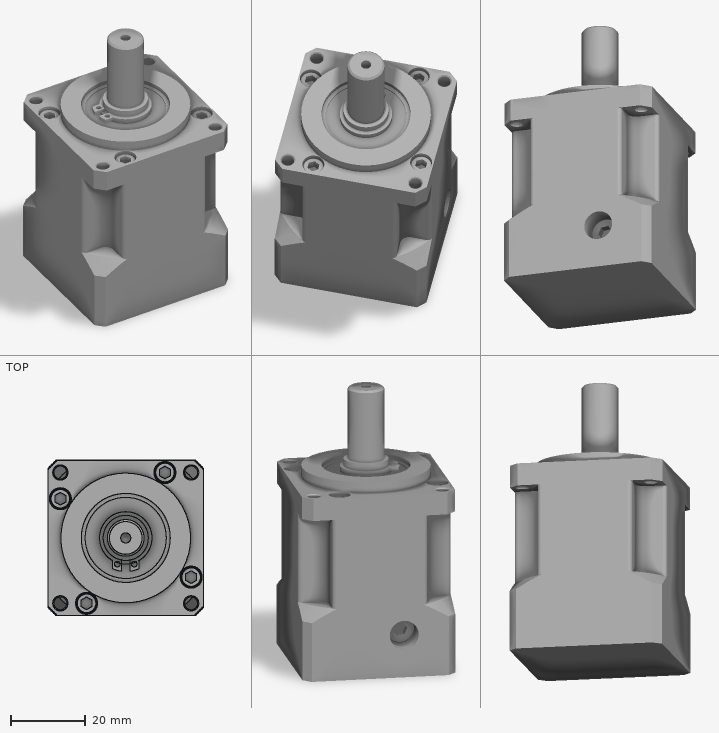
import cadquery as cq
import math

width = 42.0
half_width = width / 2

slope_start_height = 16.4
notch_floor_height = 20.1
housing_top = 29.4
ring_top = 42.6
flange_underside = 45.05
flange_top = 51.15
pilot_top = 54.1
collar_top = 56.1
shaft_top = 76.1

foot_corner_chamfer = 2.2
flange_corner_chamfer = 2.6
notch_size = 8.0
notch_inner_radius = 2.4
notch_edge_radius = 1.15
slope_top_radius = 24.1

pilot_radius = 17.5
recess_radius = 12.0
recess_depth = 1.2
seal_radius = 10.95
seal_depth = 1.5
mount_hole_radius = 1.75
mount_hole_chamfer = 0.3
mount_hole_offset = 17.65

shaft_radius = 4.95
shaft_chamfer = 0.5
collar_radius = 6.1
shoulder_radius = 7.1
groove_radius = 5.5
center_hole_radius = 1.4
center_hole_depth = 7.6
drill_point_half_angle = math.radians(59)

clip_thickness = 1.0
clip_groove_width = 1.15
clip_radius = 7.1
clip_lug_radius = 9.05
clip_lug_outer_x = 3.6
clip_gap = 2.2
clip_eye_radius = 0.75
clip_eye_x = 2.3
clip_eye_y = -7.1

screw_near_offset = 10.6
screw_far_offset = 17.65
counterbore_radius = 3.0
screw_sink = 0.8
screw_head_radius = 2.75
screw_head_height = 4.0
screw_head_chamfer = 0.2
screw_shank_radius = 1.5
screw_socket_width = 3.0
screw_socket_depth = 2.5
screw_grip_in_housing = 6.1

clamp_y = -6.55
clamp_height = 11.9
clamp_hole_radius = 3.95
clamp_sink = 6.1
clamp_head_radius = 3.9
clamp_head_height = 4.6
clamp_shank_radius = 2.0
clamp_shank_length = 9.1
clamp_socket_width = 3.5
clamp_socket_depth = 2.5
clamp_socket_turn = 7.0

clip_bottom = pilot_top - clip_thickness
groove_top = clip_bottom + clip_groove_width
seal_face = pilot_top - seal_depth
screw_head_top = flange_top - screw_sink
counterbore_depth = screw_sink + screw_head_height
screw_tip = housing_top - screw_grip_in_housing
screw_shank_length = screw_head_top - screw_head_height - screw_tip
clamp_head_x = clamp_sink - half_width
screw_places = [
    (screw_near_offset, screw_far_offset),
    (-screw_far_offset, screw_near_offset),
    (-screw_near_offset, -screw_far_offset),
    (screw_far_offset, -screw_near_offset),
]


def cylinder(radius, bottom, top):
    return cq.Workplane("XY").workplane(offset=bottom).circle(radius).extrude(top - bottom)


def square_block(bottom, top):
    return cq.Workplane("XY").workplane(offset=bottom).rect(width, width).extrude(top - bottom)


def notched_block(bottom, top):
    """Square block with a rounded square notch along each vertical corner."""
    block = square_block(bottom, top)
    inner = half_width - notch_size
    notch_center = (half_width + inner) / 2
    notches = (
        cq.Workplane("XY").workplane(offset=bottom)
        .rect(2 * notch_center, 2 * notch_center, forConstruction=True).vertices()
        .rect(notch_size, notch_size).extrude(top - bottom)
    )
    block = block.cut(notches)
    near_wall = inner + notch_edge_radius / 2
    inner_edges = cq.selectors.BoxSelector((-near_wall, -near_wall, bottom), (near_wall, near_wall, top))
    block = block.edges("|Z").edges(inner_edges).fillet(notch_inner_radius)
    return block.edges("|Z and (>X or <X or >Y or <Y)").fillet(notch_edge_radius)


def socket_screw(head_radius, head_height, shank_radius, shank_length, socket_width, socket_depth, turn):
    """Socket head screw along Z, with the top of its head on Z = 0."""
    head = cylinder(head_radius, -head_height, 0).faces(">Z").chamfer(screw_head_chamfer)
    screw = head.union(cylinder(shank_radius, -head_height - shank_length, -head_height))
    socket_corner_diameter = socket_width / math.cos(math.pi / 6)
    socket = cq.Workplane("XY").polygon(6, socket_corner_diameter).extrude(-socket_depth)
    return screw.cut(socket.rotate((0, 0, 0), (0, 0, 1), turn))


def screw_clearance(head_radius, head_depth, shank_radius, shank_length):
    """Space for a screw along Z: a counterbore open on Z = 0 and the shank hole."""
    counterbore = cylinder(head_radius, -head_depth, 0)
    return counterbore.union(cylinder(shank_radius, -head_depth - shank_length, -head_depth))


def place_clamp(shape, x):
    """Turn a shape from +Z to -X and move it onto the clamp screw axis."""
    return shape.rotate((0, 0, 0), (0, 1, 0), -90).translate((x, clamp_y, clamp_height))


def cut_flange_screws(body):
    clearance = screw_clearance(
        counterbore_radius, counterbore_depth, screw_shank_radius, screw_shank_length
    )
    for x, y in screw_places:
        body = body.cut(clearance.translate((x, y, flange_top)))
    return body


def corner_slopes():
    """Space above the cone that slopes each corner from the notch floor to the foot chamfer."""
    corner_radius = math.sqrt(2) * half_width
    slope_bottom_radius = math.hypot(half_width, half_width - foot_corner_chamfer)
    return (
        cq.Workplane("XZ")
        .polyline([
            (slope_top_radius, notch_floor_height),
            (slope_bottom_radius, slope_start_height),
            (corner_radius, slope_start_height),
            (corner_radius, notch_floor_height),
        ]).close()
        .revolve(360, (0, 0, 0), (0, 1, 0))
    )


def make_housing():
    body = square_block(0, notch_floor_height).edges("|Z").chamfer(foot_corner_chamfer)
    body = body.cut(corner_slopes())
    body = body.union(notched_block(notch_floor_height, housing_top))
    clamp_space = screw_clearance(
        clamp_hole_radius, clamp_sink + clamp_head_height, clamp_shank_radius, clamp_shank_length
    )
    return cut_flange_screws(body.cut(place_clamp(clamp_space, -half_width)))


def make_ring():
    return cut_flange_screws(notched_block(housing_top, ring_top))


def make_flange():
    plate = square_block(flange_underside, flange_top).edges("|Z").chamfer(flange_corner_chamfer)
    plate = (
        plate.faces(">Z").workplane()
        .rect(2 * mount_hole_offset, 2 * mount_hole_offset, forConstruction=True).vertices()
        .cskHole(2 * mount_hole_radius, 2 * (mount_hole_radius + mount_hole_chamfer), 90)
    )
    body = plate.union(notched_block(ring_top, flange_underside))
    body = body.union(cylinder(pilot_radius, flange_top, pilot_top))
    body = body.cut(cylinder(recess_radius, pilot_top - recess_depth, pilot_top))
    body = body.cut(cylinder(seal_radius, seal_face, pilot_top))
    body = body.cut(cylinder(shoulder_radius, ring_top, seal_face))
    return cut_flange_screws(body)


def make_shaft():
    drill_point_depth = center_hole_depth + center_hole_radius / math.tan(drill_point_half_angle)
    return (
        cq.Workplane("XZ")
        .polyline([
            (0, ring_top),
            (shoulder_radius, ring_top),
            (shoulder_radius, clip_bottom),
            (groove_radius, clip_bottom),
            (groove_radius, groove_top),
            (collar_radius, groove_top),
            (collar_radius, collar_top),
            (shaft_radius, collar_top),
            (shaft_radius, shaft_top - shaft_chamfer),
            (shaft_radius - shaft_chamfer, shaft_top),
            (center_hole_radius, shaft_top),
            (center_hole_radius, shaft_top - center_hole_depth),
            (0, shaft_top - drill_point_depth),
        ]).close()
        .revolve(360, (0, 0, 0), (0, 1, 0))
    )


def make_clip():
    ring = cylinder(clip_radius, clip_bottom, pilot_top)
    lug_area = (
        cq.Workplane("XY").workplane(offset=clip_bottom)
        .center(0, -clip_lug_radius / 2)
        .rect(2 * clip_lug_outer_x, clip_lug_radius).extrude(clip_thickness)
    )
    lugs = cylinder(clip_lug_radius, clip_bottom, pilot_top).intersect(lug_area)
    gap = (
        cq.Workplane("XY").workplane(offset=clip_bottom)
        .center(0, -clip_lug_radius / 2)
        .rect(clip_gap, clip_lug_radius).extrude(clip_thickness)
    )
    eyes = (
        cq.Workplane("XY").workplane(offset=clip_bottom)
        .pushPoints([(-clip_eye_x, clip_eye_y), (clip_eye_x, clip_eye_y)])
        .circle(clip_eye_radius).extrude(clip_thickness)
    )
    bore = cylinder(groove_radius, clip_bottom, pilot_top)
    return ring.union(lugs).cut(gap).cut(eyes).cut(bore)


def make_flange_screw(x, y):
    hex_point_on_y = 30
    screw = socket_screw(
        screw_head_radius, screw_head_height, screw_shank_radius, screw_shank_length,
        screw_socket_width, screw_socket_depth, hex_point_on_y,
    )
    return screw.translate((x, y, screw_head_top))


def make_clamp_screw():
    hex_point_on_y = 90
    screw = socket_screw(
        clamp_head_radius, clamp_head_height, clamp_shank_radius, clamp_shank_length,
        clamp_socket_width, clamp_socket_depth, hex_point_on_y + clamp_socket_turn,
    )
    return place_clamp(screw, clamp_head_x)


housing = make_housing()
ring = make_ring()
flange = make_flange()
shaft = make_shaft()
clip = make_clip()
clamp_screw = make_clamp_screw()
flange_screws = [make_flange_screw(x, y) for x, y in screw_places]

result = cq.Compound.makeCompound([
    housing.val(),
    ring.val(),
    flange.val(),
    shaft.val(),
    clip.val(),
    clamp_screw.val(),
    *[screw.val() for screw in flange_screws],
])